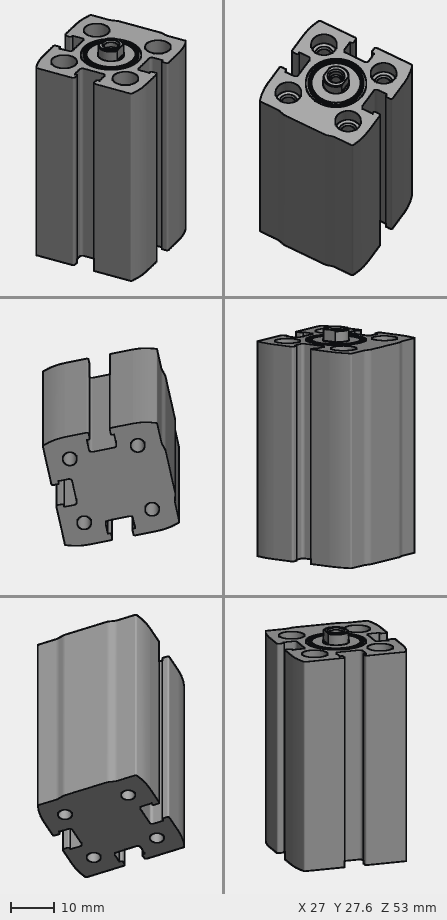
import cadquery as cq
import math


width = 27.0
half_width = width / 2
housing_height = 50.35
flat_side_half = 8.0
side_arc_radius = 15.0
corner_radius = 0.4
crown_height = 0.55
crown_top_half = 5.6
crown_foot_half = 7.35
crown_blend_radius = 2.5

slot_depth = 4.9
slot_lip = 1.75
slot_mouth_width = 5.0
slot_inner_width = 6.45
slot_corner_radius = 0.7
slot_mouth_radius = 0.4
slot_shoulder_radius = 0.3

hole_spacing = 16.0
hole_diameter = 3.3
hole_countersink_diameter = 4.15
counterbore_diameter = 6.0
counterbore_depth = 3.5

groove_radius = 14.0 / 2
groove_depth = 0.5
cone_top_radius = 6.4
cone_top_depth = 0.15
channel_outer_radius = 6.2
channel_depth = 0.5
collar_radius = 12.0 / 2
collar_chamfer_width = 0.35
collar_chamfer_drop = 0.15

rod_diameter = 6.0
rod_radius = rod_diameter / 2
rod_projection = 2.65
rod_insertion = 15.9
rod_flat_width = 5.0
rod_tip_chamfer = 0.2
rod_ledge_drop = 0.15
rod_bore_chamfer = 0.1
bore_entry_radius = 3.25 / 2
bore_entry_depth = 1.65
bore_countersink_radius = 4.0 / 2
bore_countersink_depth = 0.35
bore_step_drop = 0.2
bore_core_radius = 2.45 / 2
bore_core_depth = 7.95
bore_tip_height = 0.75

rod_top = housing_height + rod_projection


def vertical_edges_at(points):
    """Selector for the vertical edges that pass through the given (x, y) points."""
    tolerance = 0.005
    selector = None
    for x, y in points:
        box = cq.selectors.BoxSelector(
            (x - tolerance, y - tolerance, -0.55),
            (x + tolerance, y + tolerance, housing_height + 0.55),
        )
        selector = box if selector is None else selector + box
    return selector


def make_profile():
    """Solid extrusion with bowed sides, rounded corners and a crowned back face."""
    arc_center_x = half_width - side_arc_radius
    arc_rise = half_width - flat_side_half
    mid_y = flat_side_half + arc_rise / 2
    mid_x = arc_center_x + math.sqrt(side_arc_radius**2 - (arc_rise / 2) ** 2)
    corner_x = arc_center_x + math.sqrt(side_arc_radius**2 - arc_rise**2)
    crown_y = half_width + crown_height

    profile = (
        cq.Workplane("XY")
        .moveTo(-corner_x, -half_width)
        .lineTo(corner_x, -half_width)
        .threePointArc((mid_x, -mid_y), (half_width, -flat_side_half))
        .lineTo(half_width, flat_side_half)
        .threePointArc((mid_x, mid_y), (corner_x, half_width))
        .lineTo(crown_foot_half, half_width)
        .lineTo(crown_top_half, crown_y)
        .lineTo(-crown_top_half, crown_y)
        .lineTo(-crown_foot_half, half_width)
        .lineTo(-corner_x, half_width)
        .threePointArc((-mid_x, mid_y), (-half_width, flat_side_half))
        .lineTo(-half_width, -flat_side_half)
        .threePointArc((-mid_x, -mid_y), (-corner_x, -half_width))
        .close()
        .extrude(housing_height)
    )
    corners = [(sx * corner_x, sy * half_width) for sx in (-1, 1) for sy in (-1, 1)]
    profile = profile.edges(vertical_edges_at(corners)).fillet(corner_radius)
    crown_bends = [
        (side * x, y)
        for side in (-1, 1)
        for x, y in ((crown_foot_half, half_width), (crown_top_half, crown_y))
    ]
    return profile.edges(vertical_edges_at(crown_bends)).fillet(crown_blend_radius)


def cut_slot(body, angle):
    """Cut one T-slot into the front face, turned about Z by the given angle, and round its edges."""
    mouth = slot_mouth_width / 2
    inner = slot_inner_width / 2
    face_y = -half_width
    lip_y = face_y + slot_lip
    floor_y = face_y + slot_depth
    outline = [
        (-mouth, face_y),
        (-mouth, lip_y),
        (-inner, lip_y),
        (-inner, floor_y),
        (inner, floor_y),
        (inner, lip_y),
        (mouth, lip_y),
        (mouth, face_y),
    ]
    slot = cq.Workplane("XY").polyline(outline).close().extrude(housing_height)
    body = body.rotate((0, 0, 0), (0, 0, 1), -angle).cut(slot)
    for x, y, radius in (
        (mouth, face_y, slot_mouth_radius),
        (mouth, lip_y, slot_shoulder_radius),
        (inner, floor_y, slot_corner_radius),
    ):
        body = body.edges(vertical_edges_at([(-x, y), (x, y)])).fillet(radius)
    return body.rotate((0, 0, 0), (0, 0, 1), angle)


def make_mounting_hole_cutter():
    """Through hole with a countersunk step below a counterbore, on the Z axis."""
    floor_z = housing_height - counterbore_depth
    hole_radius = hole_diameter / 2
    sink_radius = hole_countersink_diameter / 2
    counterbore_radius = counterbore_diameter / 2
    return (
        cq.Workplane("XZ")
        .polyline([
            (0, 0),
            (hole_radius, 0),
            (hole_radius, floor_z - (sink_radius - hole_radius)),
            (sink_radius, floor_z),
            (counterbore_radius, floor_z),
            (counterbore_radius, housing_height),
            (0, housing_height),
        ])
        .close()
        .revolve(360, (0, 0, 0), (0, 1, 0))
    )


def make_groove_cutter():
    """Ring groove with a conical floor, ending at the chamfered bearing collar."""
    top = housing_height
    return (
        cq.Workplane("XZ")
        .polyline([
            (groove_radius, top),
            (groove_radius, top - groove_depth),
            (cone_top_radius, top - cone_top_depth),
            (channel_outer_radius, top - cone_top_depth),
            (channel_outer_radius, top - channel_depth),
            (collar_radius, top - channel_depth),
            (collar_radius, top - collar_chamfer_drop),
            (collar_radius - collar_chamfer_width, top),
        ])
        .close()
        .revolve(360, (0, 0, 0), (0, 1, 0))
    )


def make_rod_guide_cutter():
    """Blind bore that holds the rod, with a small lead-in chamfer at the top."""
    bottom = housing_height - rod_insertion
    return (
        cq.Workplane("XZ")
        .polyline([
            (0, bottom),
            (rod_radius, bottom),
            (rod_radius, housing_height - rod_bore_chamfer),
            (rod_radius + rod_bore_chamfer, housing_height),
            (0, housing_height),
        ])
        .close()
        .revolve(360, (0, 0, 0), (0, 1, 0))
    )


def make_housing():
    body = make_profile()
    for angle in (-90, 0, 90):
        body = cut_slot(body, angle)
    hole = make_mounting_hole_cutter()
    for sx in (-1, 1):
        for sy in (-1, 1):
            body = body.cut(hole.translate((sx * hole_spacing / 2, sy * hole_spacing / 2, 0)))
    body = body.cut(make_groove_cutter())
    return body.cut(make_rod_guide_cutter())


def make_rod_bore_cutter():
    """Stepped, countersunk threaded hole in the rod end with a drill-point bottom."""
    return (
        cq.Workplane("XZ")
        .polyline([
            (0, rod_top),
            (bore_countersink_radius, rod_top),
            (bore_entry_radius, rod_top - bore_countersink_depth),
            (bore_entry_radius, rod_top - bore_entry_depth),
            (bore_core_radius, rod_top - bore_entry_depth - bore_step_drop),
            (bore_core_radius, rod_top - bore_core_depth),
            (0, rod_top - bore_core_depth - bore_tip_height),
        ])
        .close()
        .revolve(360, (0, 0, 0), (0, 1, 0))
    )


def make_rod():
    flat_half = rod_flat_width / 2
    shaft = (
        cq.Workplane("XY")
        .workplane(offset=housing_height - rod_insertion)
        .circle(rod_radius)
        .extrude(rod_insertion + rod_projection)
        .faces(">Z")
        .chamfer(rod_tip_chamfer)
    )
    flats = (
        cq.Workplane("XZ")
        .polyline([
            (flat_half, rod_top),
            (flat_half, housing_height),
            (rod_radius, housing_height - rod_ledge_drop),
            (rod_diameter, housing_height - rod_ledge_drop),
            (rod_diameter, rod_top),
        ])
        .close()
        .revolve(360, (0, 0, 0), (0, 1, 0))
    )
    between_flats = cq.Workplane("XY").rect(rod_flat_width, width).extrude(rod_top)
    return shaft.cut(flats.cut(between_flats)).cut(make_rod_bore_cutter())


housing = make_housing()
rod = make_rod()

result = cq.Compound.makeCompound([housing.solids().val(), rod.solids().val()])